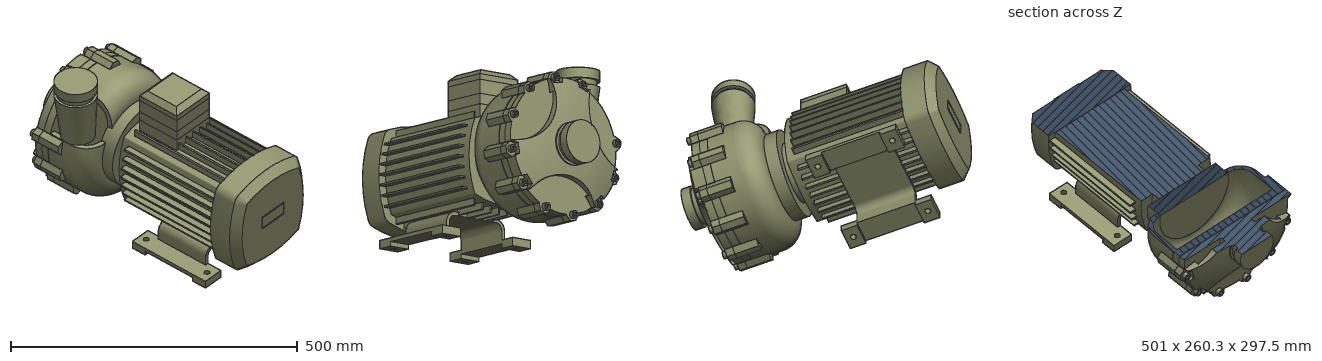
import cadquery as cq


inlet_rim_end = 17.0
collar_start = 27.0
dome_back = 45.0
dome_rim = 47.0
head_front = 47.0
plate_front = 54.5
plate_back = 69.5
flange_back = 84.5
lug_back = 114.5
housing_bend_start = 135.5
housing_back = 174.5
adapter_back = 198.0
frame_front = 213.5
fin_front = 228.5
fan_cover_front = 439.5
fan_cover_back = 499.5
overall_length = 501.0

pipe_radius = 76.0 / 2
pipe_neck_radius = 66.0 / 2
plate_radius = 120.0
dome_apex = 30.0
dome_mid_radius = 80.0
dome_mid_x = 35.0
chamber_radius = 96.5
window_radius = 89.5
window_offset = 147.0
window_angles = [-95, 25, 145]

bolt_circle_radius = 121.0
bolt_count = 12
first_bolt_angle = 10
outlet_gap_angle = 40
short_lug_angle = 70
bolt_angles = [first_bolt_angle + i * 360 / bolt_count for i in range(bolt_count)]
bolt_angles = [angle for angle in bolt_angles if angle != outlet_gap_angle]
housing_lug_angles = [angle for angle in bolt_angles if angle != short_lug_angle]
head_radius = 13.0 / 2
socket_radius = 7.0 / 2
socket_depth = 4.0
lug_half_outline = [(10.0, 6.5), (-0.5, 14.0), (-10.0, 9.5)]

housing_radius = 121.0
housing_wall = 9.5
housing_bend = housing_back - housing_bend_start
notch_side_y = -55.0
notch_floor_z = 36.0

outlet_x = 120.5
outlet_y = -89.5
outlet_top = 156.5
outlet_rim_bottom = 138.5
outlet_neck_bottom = 127.5
outlet_root_radius = 30.5
outlet_root_x = 122.0
outlet_root_y = -85.5

adapter_radius = 160.0 / 2
neck_radius = 110 / 2

frame_half = 80.5
frame_corner = 67.5
frame_corner_radius = 3.5
fin_half = 93.0
fin_corner = 75.0
fin_count = 7
fin_pitch = 18.5
fin_thickness = 3.0

fan_cover_half = 96.0
fan_cover_corner = 80.0
fan_cover_corner_radius = 20.0
fan_cover_chamfer = 15.5
nameplate_width = 57.0
nameplate_height = 24.0
nameplate_z = 3.0

box_size = 86.0
box_base_top = 98.5
box_spacer_top = 117.0
box_body_top = 142.5
box_lid_top = 162.5
box_chamfer = 10.0

foot_front = 262.0
foot_back = 432.0
foot_inner_y = 59.5
foot_outer_y = 100.5
foot_top = -119.5
foot_bottom = -135.0
foot_relief_top = -127.0
strap_front = 291.5
strap_back = 402.0
strap_thickness = 6.5
strap_top = -84.0
strap_bend = 20.0
foot_hole_radius = 10 / 2
foot_hole_inset = 14.5


def cylinder(x_start, x_end, radius):
    """Disc or rod on the shaft axis."""
    return cq.Workplane("YZ", origin=(x_start, 0, 0)).circle(radius).extrude(x_end - x_start)


def block(x_range, y_range, z_range):
    """Box given by its limits along each axis."""
    ranges = (x_range, y_range, z_range)
    sizes = [high - low for low, high in ranges]
    corner = tuple(low for low, _ in ranges)
    return cq.Workplane("XY", origin=corner).box(*sizes, centered=False)


def around_shaft(shape, angle):
    """Turn a shape made on the -Y side about the shaft, by an angle counted towards +Z."""
    return shape.rotate((0, 0, 0), (1, 0, 0), -angle)


def lugs(x_start, x_end, angles):
    """Six-sided bolt lugs at the given angles, each with its blunt end facing outwards."""
    mirrored = [(r, -t) for r, t in reversed(lug_half_outline)]
    outline = [(-bolt_circle_radius - r, t) for r, t in lug_half_outline + mirrored]
    lug = cq.Workplane("YZ", origin=(x_start, 0, 0)).polyline(outline).close()
    lug = lug.extrude(x_end - x_start)
    ring = cq.Workplane("YZ")
    for angle in angles:
        ring = ring.add(around_shaft(lug, angle))
    return ring.combine()


def make_front_cover():
    """Bolted cover plate with a three-armed dome and the inlet pipe."""
    dome = (
        cq.Workplane("XY")
        .moveTo(dome_apex, 0)
        .threePointArc((dome_mid_x, dome_mid_radius), (dome_rim, plate_radius))
        .lineTo(plate_front, plate_radius)
        .lineTo(plate_front, chamber_radius)
        .lineTo(dome_back, chamber_radius)
        .lineTo(dome_back, 0)
        .close()
        .revolve(360, (0, 0, 0), (1, 0, 0))
    )
    window = (
        cq.Workplane("YZ")
        .center(-window_offset, 0)
        .circle(window_radius)
        .extrude(plate_front)
    )
    for angle in window_angles:
        dome = dome.cut(around_shaft(window, angle))
    dome = dome.cut(lugs(0, plate_front, bolt_angles))

    cover = cylinder(plate_front, plate_back, plate_radius).union(lugs(plate_front, plate_back, bolt_angles))
    cover = cover.union(dome)
    cover = cover.union(cylinder(0, inlet_rim_end, pipe_radius))
    cover = cover.union(cylinder(inlet_rim_end, collar_start, pipe_neck_radius))
    cover = cover.union(cylinder(collar_start, plate_front, pipe_radius))

    head = (
        cq.Workplane("YZ", origin=(head_front, 0, 0))
        .center(-bolt_circle_radius, 0)
        .circle(head_radius)
        .extrude(plate_front - head_front)
        .faces("<X")
        .workplane(centerOption="CenterOfMass")
        .circle(socket_radius)
        .cutBlind(-socket_depth)
    )
    for angle in bolt_angles:
        cover = cover.union(around_shaft(head, angle))
    return cover


def housing_shape(x_start, radius, x_end, bend):
    """Solid of revolution with a rounded back edge."""
    return cylinder(x_start, x_end, radius).faces(">X").edges().fillet(bend)


def make_outlet():
    """Upright outlet pipe that narrows towards the housing."""
    rim = (
        cq.Workplane("XY", origin=(outlet_x, outlet_y, outlet_rim_bottom))
        .circle(pipe_radius)
        .extrude(outlet_top - outlet_rim_bottom)
    )
    neck = (
        cq.Workplane("XY", origin=(outlet_x, outlet_y, outlet_neck_bottom))
        .circle(pipe_neck_radius)
        .extrude(outlet_rim_bottom - outlet_neck_bottom)
    )
    taper = (
        cq.Workplane("XY", origin=(outlet_root_x, outlet_root_y, notch_floor_z))
        .circle(outlet_root_radius)
        .workplane(offset=outlet_neck_bottom - notch_floor_z)
        .center(outlet_x - outlet_root_x, outlet_y - outlet_root_y)
        .circle(pipe_radius)
        .loft(ruled=True)
    )
    return taper.union(neck).union(rim)


def make_housing():
    """Hollow pump housing, notched at one corner where the outlet rises."""
    shell = housing_shape(flange_back, housing_radius, housing_back, housing_bend)
    cavity = housing_shape(
        flange_back,
        housing_radius - housing_wall,
        housing_back - housing_wall,
        housing_bend - housing_wall,
    )
    shell = shell.union(lugs(flange_back, lug_back, housing_lug_angles)).cut(cavity)
    shell = shell.cut(cylinder(flange_back, housing_back, adapter_radius))
    notch = block(
        (flange_back, housing_back),
        (-2 * housing_radius, notch_side_y),
        (notch_floor_z, 2 * housing_radius),
    )
    shell = shell.cut(notch)
    flange = cylinder(plate_back, flange_back, plate_radius)
    flange = flange.union(lugs(plate_back, flange_back, housing_lug_angles))
    return shell.union(flange).union(make_outlet())


def make_adapter():
    """Disc that fills the bore in the back of the housing and carries the motor."""
    return cylinder(housing_back - housing_wall, adapter_back, adapter_radius)


def bulged_square(x_start, x_end, half, corner):
    """Square prism whose bulged sides reach `half` and meet at `corner` along Y and Z."""
    outline = (
        cq.Workplane("YZ", origin=(x_start, 0, 0))
        .moveTo(-corner, corner)
        .threePointArc((0, half), (corner, corner))
        .threePointArc((half, 0), (corner, -corner))
        .threePointArc((0, -half), (-corner, -corner))
        .threePointArc((-half, 0), (-corner, corner))
        .close()
    )
    return outline.extrude(x_end - x_start)


def box_layer(bottom, top):
    """One layer of the square terminal box."""
    half = box_size / 2
    return block((fin_front, fin_front + box_size), (-half, half), (bottom, top))


def make_frame():
    """Finned motor frame with its neck and the base of the terminal box."""
    fins = cq.Workplane("YZ")
    for i in range(fin_count):
        offset = (i - (fin_count - 1) / 2) * fin_pitch
        fin_range = (offset - fin_thickness / 2, offset + fin_thickness / 2)
        full_range = (-fin_half, fin_half)
        fins = fins.add(block((fin_front, fan_cover_front), fin_range, full_range))
        fins = fins.add(block((fin_front, fan_cover_front), full_range, fin_range))
    fins = fins.combine()
    fins = fins.intersect(bulged_square(fin_front, fan_cover_front, fin_half, fin_corner))
    strap_space = block((strap_front, strap_back), (-fin_half, fin_half), (-fin_half, strap_top))
    fins = fins.cut(strap_space)

    frame = bulged_square(frame_front, fan_cover_front, frame_half, frame_corner)
    frame = frame.edges("|X").fillet(frame_corner_radius)
    frame = frame.union(fins).union(box_layer(0, box_base_top))
    return frame.union(cylinder(adapter_back, frame_front, neck_radius))


def make_fan_cover():
    """Cap over the fan, with a bevelled end and a raised nameplate."""
    cover = bulged_square(fan_cover_front, fan_cover_back, fan_cover_half, fan_cover_corner)
    cover = cover.edges("|X").fillet(fan_cover_corner_radius)
    cover = cover.faces(">X").edges().chamfer(fan_cover_chamfer)
    nameplate = block(
        (fan_cover_back, overall_length),
        (-nameplate_width / 2, nameplate_width / 2),
        (nameplate_z - nameplate_height / 2, nameplate_z + nameplate_height / 2),
    )
    return cover.union(nameplate)


def make_box_lid():
    """Terminal box lid with bevelled top edges."""
    return box_layer(box_body_top, box_lid_top).faces(">Z").edges().chamfer(box_chamfer)


def make_foot():
    """Bent strap under the motor with a drilled pad along each side."""
    outer_y = foot_inner_y + strap_thickness
    strap_x = (strap_front, strap_back)
    strap = block(strap_x, (-outer_y, outer_y), (foot_top, strap_top))
    strap = strap.edges("|X and >Z").fillet(strap_bend)
    hollow = block(strap_x, (-foot_inner_y, foot_inner_y), (foot_top, strap_top - strap_thickness))
    hollow = hollow.edges("|X and >Z").fillet(strap_bend - strap_thickness)
    foot = strap.cut(hollow)

    for side in (-1, 1):
        y_range = sorted((side * foot_inner_y, side * foot_outer_y))
        pad = block((foot_front, foot_back), y_range, (foot_bottom, foot_top))
        pad = pad.cut(block(strap_x, y_range, (foot_bottom, foot_relief_top)))
        hole_y = side * (foot_inner_y + foot_outer_y) / 2
        for hole_x in (foot_front + foot_hole_inset, foot_back - foot_hole_inset):
            hole = cq.Workplane("XY", origin=(hole_x, hole_y, foot_bottom)).circle(foot_hole_radius)
            pad = pad.cut(hole.extrude(foot_top - foot_bottom))
        foot = foot.union(pad)
    return foot


front_cover = make_front_cover()
housing = make_housing()
adapter = make_adapter()
frame = make_frame()
fan_cover = make_fan_cover()
box_spacer = box_layer(box_base_top, box_spacer_top)
box_body = box_layer(box_spacer_top, box_body_top)
box_lid = make_box_lid()
foot = make_foot()

result = cq.Compound.makeCompound(
    [
        front_cover.val(),
        housing.val(),
        adapter.val(),
        frame.val(),
        fan_cover.val(),
        box_spacer.val(),
        box_body.val(),
        box_lid.val(),
        foot.val(),
    ]
)